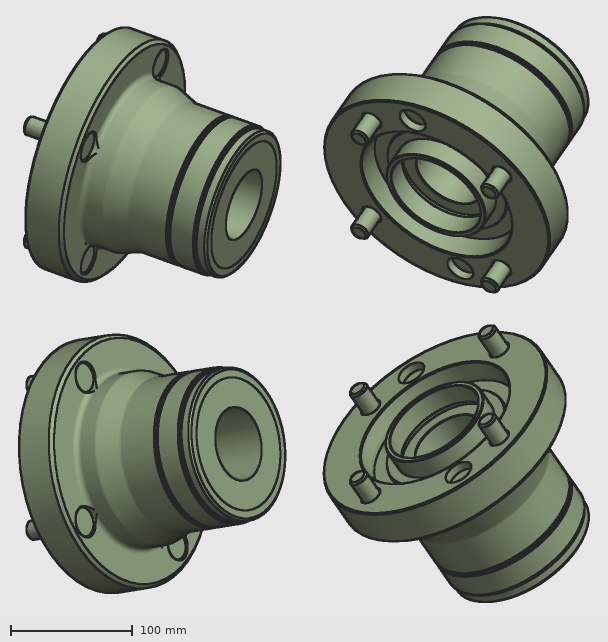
import cadquery as cq
import math


flange_back = 35.3
neck_end = 55.0
body_start = 75.4
joint = 111.7
rear_end = 147.5

flange_diameter = 210.0
flange_front_chamfer = 1.0
flange_back_chamfer = 3.2
neck_diameter = 145.0
body_diameter = 130.0
neck_fillet = 4.6
cone_fillet = 4.2
joint_chamfer = 1.3
recess_diameter = 139.6
recess_depth = 19.7
recess_taper_depth = 15.1
recess_taper_angle = 7.125
recess_rim_chamfer = 0.8
housing_bore = 111.0

hole_circle_radius = 85.5

blind_hole_diameter = 24.0
blind_hole_depth = 8.0
blind_hole_tilt = 15.0
blind_hole_angles = (90 - blind_hole_tilt, 270 - blind_hole_tilt)

bolt_angles = (45, 135, 225, 315)
bolt_diameter = 16.0
bolt_hole_diameter = 18.0
bolt_head_diameter = 24.0
bolt_head_height = bolt_diameter
bolt_protrusion = 22.0
bolt_tip_chamfer = 1.7
head_recess_diameter = 26.0
head_recess_depth = 17.5
head_seat = flange_back - head_recess_depth

sleeve_diameter = 110.0
sleeve_nose_diameter = 92.0
sleeve_nose_protrusion = 1.3
sleeve_nose_chamfer = 0.6
sleeve_bore = 61.0
sleeve_bore_chamfer = 0.5
sleeve_counterbore = 83.0
sleeve_counterbore_depth = 22.9
counterbore_rim_chamfer = 0.5
counterbore_relief_diameter = 85.7
counterbore_relief_width = 4.0
sleeve_shoulder_lift = 2.0

groove_diameter = 127.3
groove_start_chamfer = 0.8
groove_end = 113.8
groove_end_chamfer = 0.6
shoulder_end = 137.0
shoulder_chamfer = 1.3
undercut_diameter = 126.0
undercut_width = 1.3
tail_diameter = 127.0
tail_chamfer = 1.9


def revolved(outline):
    """Turn a closed outline of (x, radius) points about the X axis."""
    return cq.Workplane("XY").polyline(outline).close().revolve(360, (0, 0, 0), (1, 0, 0))


def rod(diameter, start, end, angle):
    """A cylinder along X on the hole circle, at an angle measured from +Y towards +Z."""
    y = hole_circle_radius * math.cos(math.radians(angle))
    z = hole_circle_radius * math.sin(math.radians(angle))
    return cq.Workplane("YZ", origin=(start, y, z)).circle(diameter / 2).extrude(end - start)


def circle_at(x, diameter):
    """Selects the circular edges of one diameter in the plane at x."""
    margin = 0.02
    half = diameter / 2 + margin
    return cq.selectors.BoxSelector((x - margin, -half, -half), (x + margin, half, half), boundingbox=True)


def make_housing():
    """Flange, neck and cone in one piece, with a tapered recess in the flange face."""
    flange_radius = flange_diameter / 2
    neck_radius = neck_diameter / 2
    body_radius = body_diameter / 2
    recess_radius = recess_diameter / 2
    taper_length = recess_taper_depth - recess_rim_chamfer
    recess_floor_radius = recess_radius - taper_length * math.tan(math.radians(recess_taper_angle))
    bore_radius = housing_bore / 2
    housing = revolved([
        (0, recess_radius + recess_rim_chamfer),
        (0, flange_radius - flange_front_chamfer),
        (flange_front_chamfer, flange_radius),
        (flange_back - flange_back_chamfer, flange_radius),
        (flange_back, flange_radius - flange_back_chamfer),
        (flange_back, neck_radius),
        (neck_end, neck_radius),
        (body_start, body_radius),
        (joint - joint_chamfer, body_radius),
        (joint, body_radius - joint_chamfer),
        (joint, bore_radius),
        (recess_depth, bore_radius),
        (recess_depth, recess_floor_radius),
        (recess_taper_depth, recess_floor_radius),
        (recess_rim_chamfer, recess_radius),
    ])
    housing = housing.edges(circle_at(flange_back, neck_diameter)).fillet(neck_fillet)
    housing = housing.edges(circle_at(neck_end, neck_diameter)).fillet(cone_fillet)
    housing = housing.edges(circle_at(body_start, body_diameter)).fillet(cone_fillet)

    for angle in bolt_angles:
        housing = housing.cut(rod(bolt_hole_diameter, 0, head_seat, angle))
        housing = housing.cut(rod(head_recess_diameter, head_seat, flange_back + neck_fillet, angle))

    for angle in blind_hole_angles:
        housing = housing.cut(rod(blind_hole_diameter, 0, blind_hole_depth, angle))
    return housing


def make_bolt(angle):
    """A cap screw whose head sits in the back of the flange."""
    shank = rod(bolt_diameter, -bolt_protrusion, head_seat, angle)
    shank = shank.faces("<X").chamfer(bolt_tip_chamfer)
    head = rod(bolt_head_diameter, head_seat, head_seat + bolt_head_height, angle)
    return shank.union(head)


def make_sleeve():
    """A tube through the housing with a counterbored nose and a relief at the counterbore floor."""
    nose_radius = sleeve_nose_diameter / 2
    outer_radius = sleeve_diameter / 2
    bore_radius = sleeve_bore / 2
    counterbore_radius = sleeve_counterbore / 2
    relief_radius = counterbore_relief_diameter / 2
    sleeve_shoulder = recess_depth - sleeve_shoulder_lift
    nose_tip = -sleeve_nose_protrusion
    counterbore_floor = nose_tip + sleeve_counterbore_depth
    relief_start = counterbore_floor - counterbore_relief_width
    return revolved([
        (nose_tip, counterbore_radius + counterbore_rim_chamfer),
        (nose_tip, nose_radius - sleeve_nose_chamfer),
        (nose_tip + sleeve_nose_chamfer, nose_radius),
        (sleeve_shoulder, nose_radius),
        (sleeve_shoulder, outer_radius),
        (rear_end, outer_radius),
        (rear_end, bore_radius),
        (counterbore_floor + sleeve_bore_chamfer, bore_radius),
        (counterbore_floor, bore_radius + sleeve_bore_chamfer),
        (counterbore_floor, relief_radius),
        (relief_start, relief_radius),
        (relief_start, counterbore_radius),
        (nose_tip + counterbore_rim_chamfer, counterbore_radius),
    ])


def make_rear_ring():
    """The ring behind the housing, carried on the sleeve."""
    groove_radius = groove_diameter / 2
    body_radius = body_diameter / 2
    undercut_radius = undercut_diameter / 2
    tail_radius = tail_diameter / 2
    inner_radius = sleeve_diameter / 2
    return revolved([
        (joint, inner_radius),
        (joint, groove_radius - groove_start_chamfer),
        (joint + groove_start_chamfer, groove_radius),
        (groove_end, groove_radius),
        (groove_end, body_radius - groove_end_chamfer),
        (groove_end + groove_end_chamfer, body_radius),
        (shoulder_end - shoulder_chamfer, body_radius),
        (shoulder_end, body_radius - shoulder_chamfer),
        (shoulder_end, undercut_radius),
        (shoulder_end + undercut_width, undercut_radius),
        (shoulder_end + undercut_width, tail_radius),
        (rear_end - tail_chamfer, tail_radius),
        (rear_end, tail_radius - tail_chamfer),
        (rear_end, inner_radius),
    ])


housing = make_housing()
sleeve = make_sleeve()
rear_ring = make_rear_ring()
bolts = [make_bolt(angle) for angle in bolt_angles]

result = cq.Compound.makeCompound(
    [housing.val(), sleeve.val(), rear_ring.val(), *[bolt.val() for bolt in bolts]]
)